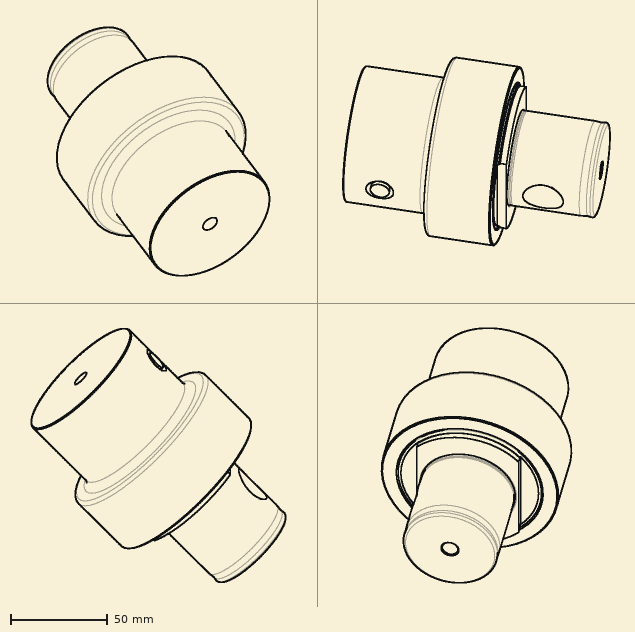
import cadquery as cq
import math

total_length = 130.0
flange_start = 45.0
collar_start = 49.9
collar_end = 85.2

shank_radius = 25.0
flange_radius = 37.3
collar_radius = 47.0
hub_radius = 35.75

bore_radius = 4.2
bore_mouth_chamfer = 0.5

shank_end_round = 1.3
relief_bottom_x = 3.3
relief_end_x = 7.0
relief_depth = 0.35

root_taper_start_x = 43.0
root_taper_length = 0.8
root_radius = 24.8
root_arc_start_x = 44.4
root_arc_end_radius = 25.2
root_face_radius = 25.8
root_face_depth = 0.15

neck_radius = 36.4
neck_chamfer = flange_radius - neck_radius
neck_chamfer_start_x = 48.3
neck_arc_start_x = 49.3
neck_arc_end_radius = 38.1
neck_face_radius = 39.0
neck_face_depth = 0.3

flat_distance = 27.0
flat_sides = (1, -1)

collar_front_chamfer = 0.6
collar_rear_round = 1.8
hub_root_round = 4.0
hub_end_chamfer = 0.5

seat_x = 26.0
seat_radius = 10.7
seat_overlap = 1.0

screw_x = 110.4
screw_radius = 5.0
screw_length = 18.0
countersink_radius = 7.3

toward_axis = cq.Vector(0, -1, 0)


def arc_point(center_x, center_radius, radius, degrees):
    """Point on an arc, at an angle measured from +X toward the outside."""
    angle = math.radians(degrees)
    return (
        center_x + radius * math.cos(angle),
        center_radius + radius * math.sin(angle),
    )


def turned_blank():
    """Shank, flange, collar and hub as one revolved profile of (x, radius) points."""
    shank_round_radius = shank_radius - shank_end_round
    collar_round_x = collar_end - collar_rear_round
    collar_round_radius = collar_radius - collar_rear_round
    hub_round_x = collar_end + hub_root_round
    hub_round_radius = hub_radius + hub_root_round
    profile = (
        cq.Workplane("XZ")
        .moveTo(0, 0)
        .lineTo(0, shank_round_radius)
        .threePointArc(
            arc_point(shank_end_round, shank_round_radius, shank_end_round, 135),
            (shank_end_round, shank_radius),
        )
        .lineTo(relief_bottom_x, shank_radius - relief_depth)
        .lineTo(relief_end_x, shank_radius)
        .lineTo(root_taper_start_x, shank_radius)
        .lineTo(root_taper_start_x + root_taper_length, root_radius)
        .lineTo(root_arc_start_x, root_radius)
        .tangentArcPoint((flange_start + root_face_depth, root_arc_end_radius), relative=False)
        .lineTo(flange_start, root_face_radius)
        .lineTo(flange_start, flange_radius)
        .lineTo(neck_chamfer_start_x, flange_radius)
        .lineTo(neck_chamfer_start_x + neck_chamfer, neck_radius)
        .lineTo(neck_arc_start_x, neck_radius)
        .tangentArcPoint((collar_start + neck_face_depth, neck_arc_end_radius), relative=False)
        .lineTo(collar_start, neck_face_radius)
        .lineTo(collar_start, collar_radius - collar_front_chamfer)
        .lineTo(collar_start + collar_front_chamfer, collar_radius)
        .lineTo(collar_round_x, collar_radius)
        .threePointArc(
            arc_point(collar_round_x, collar_round_radius, collar_rear_round, 45),
            (collar_end, collar_round_radius),
        )
        .lineTo(collar_end, hub_round_radius)
        .threePointArc(
            arc_point(hub_round_x, hub_round_radius, hub_root_round, 225),
            (hub_round_x, hub_radius),
        )
        .lineTo(total_length - hub_end_chamfer, hub_radius)
        .lineTo(total_length, hub_radius - hub_end_chamfer)
        .lineTo(total_length, 0)
        .close()
    )
    return profile.revolve(360, (0, 0, 0), (1, 0, 0))


def bore_cutter():
    """Through bore on the X axis, with its mouth chamfer."""
    return (
        cq.Workplane("XZ")
        .moveTo(0, 0)
        .lineTo(0, bore_radius + bore_mouth_chamfer)
        .lineTo(bore_mouth_chamfer, bore_radius)
        .lineTo(total_length, bore_radius)
        .lineTo(total_length, 0)
        .close()
        .revolve(360, (0, 0, 0), (1, 0, 0))
    )


def flat_cutter(side):
    """Block that trims one side of the flange and neck down to the collar face."""
    depth = collar_radius - flat_distance
    return cq.Workplane("XY").box(collar_start - flange_start, depth, 2 * collar_radius).translate(
        ((flange_start + collar_start) / 2, side * (flat_distance + depth / 2), 0)
    )


def seat_cutter():
    """Cone pointing at the axis, begun slightly outside the shank."""
    mouth_radius = seat_radius + seat_overlap
    mouth_center = cq.Vector(seat_x, shank_radius + seat_overlap, 0)
    return cq.Workplane(cq.Solid.makeCone(mouth_radius, 0, mouth_radius, mouth_center, toward_axis))


def screw_cylinder():
    """Plain screw, its outer end level with the top of the hub."""
    outer_end = cq.Vector(screw_x, hub_radius, 0)
    return cq.Workplane(cq.Solid.makeCylinder(screw_radius, screw_length, outer_end, toward_axis))


def countersink_cutter():
    """90 degree countersink around the screw."""
    mouth_center = cq.Vector(screw_x, hub_radius, 0)
    depth = countersink_radius - screw_radius
    return cq.Workplane(
        cq.Solid.makeCone(countersink_radius, screw_radius, depth, mouth_center, toward_axis)
    )


def make_body():
    """Turned body with its bore, flats, conical seat and screw hole."""
    body = turned_blank().cut(bore_cutter())
    for side in flat_sides:
        body = body.cut(flat_cutter(side))
    body = body.cut(seat_cutter())
    return body.cut(screw_cylinder()).cut(countersink_cutter())


adapter_body = make_body()
clamping_screw = screw_cylinder()

result = cq.Compound.makeCompound([adapter_body.solids().val(), clamping_screw.val()])